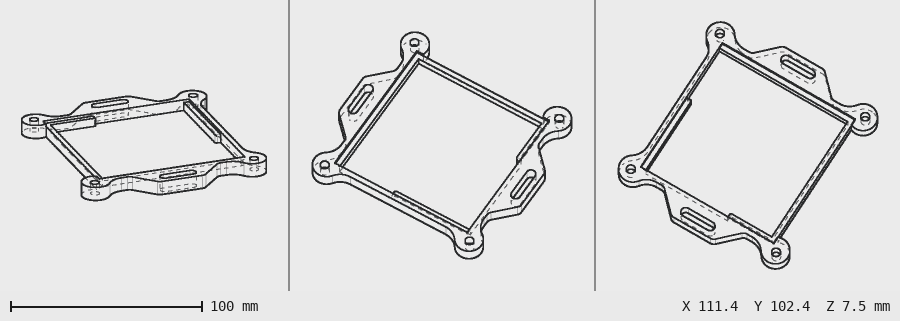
import cadquery as cq
import math

LENGTH = 111.4
DEPTH = 102.4
HEIGHT = 7.5
PLATE_HALF = 43.7

LOBE_RADIUS = DEPTH / 2 - PLATE_HALF
LOBE_BLEND_RADIUS = 10.0
HOLE_DIAMETER = 4.7
HOLE_OFFSET = 44.5

EAR_TIP_HALF = 12.6
EAR_CORNER_RADIUS = 3.3
SLOT_WIDTH = 5.0
SLOT_LENGTH = 20.0
SLOT_OFFSET = 49.9

POCKET_HALF = 40.7
FLOOR = 1.5
LEDGE_WIDTH = 2.9
LEDGE_TOP = 6.0
LEDGE_END_RADIUS = 1.0
BACK_LEDGE_END_X = 5.6
LEFT_LEDGE_END_Y = -12.3

SIDES = (-1, 1)


def block(x_min, x_max, y_min, y_max, z_min, z_max):
    """Box given by its limits along each axis."""
    size = (x_max - x_min, y_max - y_min, z_max - z_min)
    return cq.Workplane("XY").box(*size, centered=False).translate((x_min, y_min, z_min))


def lobe_blend():
    """Web in the hollow between the back right lobe and the right side of the body."""
    center_distance = LOBE_RADIUS + LOBE_BLEND_RADIUS
    reach = math.sqrt(center_distance ** 2 - LOBE_BLEND_RADIUS ** 2)
    arc_center = cq.Vector(PLATE_HALF + LOBE_BLEND_RADIUS, PLATE_HALF - reach)
    lobe_center = cq.Vector(PLATE_HALF, PLATE_HALF)
    side_point = arc_center - cq.Vector(LOBE_BLEND_RADIUS, 0)
    to_lobe = (lobe_center - arc_center).normalized()
    lobe_point = arc_center + to_lobe * LOBE_BLEND_RADIUS
    to_middle = (to_lobe - cq.Vector(1, 0)).normalized()
    arc_middle = arc_center + to_middle * LOBE_BLEND_RADIUS
    return (
        cq.Workplane("XY")
        .moveTo(PLATE_HALF, PLATE_HALF)
        .lineTo(side_point.x, side_point.y)
        .threePointArc(arc_middle.toTuple()[:2], lobe_point.toTuple()[:2])
        .close()
        .extrude(HEIGHT)
    )


def body_with_ears():
    """Square body, flush with the pocket at the front, with a rounded ear on each side."""
    ear_root_half = EAR_TIP_HALF + LENGTH / 2 - PLATE_HALF
    right_side = [
        (PLATE_HALF, -POCKET_HALF),
        (PLATE_HALF, -ear_root_half),
        (LENGTH / 2, -EAR_TIP_HALF),
        (LENGTH / 2, EAR_TIP_HALF),
        (PLATE_HALF, ear_root_half),
        (PLATE_HALF, PLATE_HALF),
    ]
    left_side = [(-x, y) for x, y in reversed(right_side)]
    body = cq.Workplane("XY").polyline(right_side + left_side).close().extrude(HEIGHT)
    zone_half = ear_root_half + EAR_CORNER_RADIUS
    ear_zone = cq.selectors.BoxSelector((-LENGTH, -zone_half, 0), (LENGTH, zone_half, HEIGHT))
    return body.edges("|Z").edges(ear_zone).fillet(EAR_CORNER_RADIUS)


def outer_body():
    """Body with the four lobes and the hollow arcs that lead into them."""
    body = body_with_ears()
    corners = [(x * PLATE_HALF, y * PLATE_HALF) for x in SIDES for y in SIDES]
    body = body.union(cq.Workplane("XY").pushPoints(corners).circle(LOBE_RADIUS).extrude(HEIGHT))

    side_blend = lobe_blend()
    front_side_blend = side_blend.mirror("XZ")
    back_blend = front_side_blend.rotate((0, 0, 0), (0, 0, 1), 90)
    right_blends = side_blend.union(front_side_blend).union(back_blend)
    return body.union(right_blends).union(right_blends.mirror("YZ"))


def pocket():
    """Square recess that leaves the floor and the ledges standing."""
    recess = block(-POCKET_HALF, POCKET_HALF, -POCKET_HALF, POCKET_HALF, FLOOR, HEIGHT)
    inner = POCKET_HALF - LEDGE_WIDTH
    right_ledge = block(inner, POCKET_HALF, -POCKET_HALF, POCKET_HALF, FLOOR, LEDGE_TOP)
    front_ledge = block(-POCKET_HALF, POCKET_HALF, -POCKET_HALF, -inner, FLOOR, LEDGE_TOP)
    back_ledge = block(-POCKET_HALF, BACK_LEDGE_END_X, inner, POCKET_HALF, FLOOR, LEDGE_TOP)
    back_ledge = back_ledge.faces(">X").edges(">Z or <Y").fillet(LEDGE_END_RADIUS)
    left_ledge = block(-POCKET_HALF, -inner, -POCKET_HALF, LEFT_LEDGE_END_Y, FLOOR, LEDGE_TOP)
    left_ledge = left_ledge.faces(">Y").edges(">Z or >X").fillet(LEDGE_END_RADIUS)
    return recess.cut(right_ledge).cut(front_ledge).cut(back_ledge).cut(left_ledge)


def lobe_holes():
    """Blind holes, one in each lobe, as deep as the pocket."""
    centers = [(x * HOLE_OFFSET, y * HOLE_OFFSET) for x in SIDES for y in SIDES]
    holes = cq.Workplane("XY").workplane(offset=FLOOR).pushPoints(centers)
    return holes.circle(HOLE_DIAMETER / 2).extrude(HEIGHT - FLOOR)


def strap_slots():
    """Round-ended through slots, one in each ear."""
    centers = [(x * SLOT_OFFSET, 0) for x in SIDES]
    return cq.Workplane("XY").pushPoints(centers).slot2D(SLOT_LENGTH, SLOT_WIDTH, 90).extrude(HEIGHT)


result = outer_body().cut(pocket()).cut(lobe_holes()).cut(strap_slots())